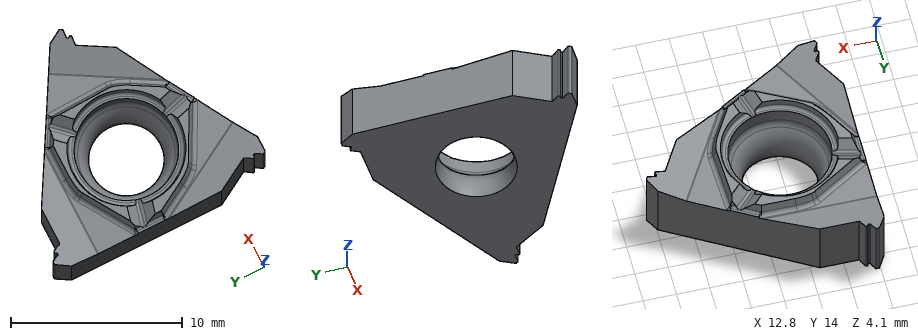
import cadquery as cq
import math

CORNERS = 3
CORNER_STEP = 360 / CORNERS

INSCRIBED_RADIUS = 4.7625
TOP_Z = 4.1
FLOOR_Z = 3.51
CORNER_FLAT_Y = 6.025
OVERSIZE_RADIUS = 12.0

LEFT_SIDE_NORMAL = 180.0
UPPER_SIDE_NORMAL = LEFT_SIDE_NORMAL - CORNER_STEP
CORNER_FLAT_NORMAL = 90.0

TIP_Y = 6.88
TIP_START_X = -4.26
TIP_END_X = -4.05
VALLEY_Y = 6.42
VALLEY_START_X = -3.81
VALLEY_END_X = -3.70
CREST_Y = 6.55
CREST_START_X = -3.64
CREST_END_X = -3.53
TEETH_END_X = -3.26
TIP_ROUND = 0.05

RAKE_START_Y = 4.295
RAKE_ANGLE = 10.5
RAKE_BLEND = 0.28

BOSS_RADIUS = 3.74
BOSS_FACET_DISTANCE = 3.62
BOSS_FACET_NORMAL = 122.0
BOSS_END_DISTANCE = 4.26
BOSS_TAPER = 26.0
BOSS_TOE_FILLET = 0.32
BOSS_CORNER_ROUND = 1.0

LEDGE_Z = 3.595
LEDGE_LOW_Y = -0.1
LEDGE_HIGH_Y = 1.66
LEDGE_FILLET = 0.18
LEDGE_WALL_HEIGHT = 0.12

NOTCH_ANGLE = 166.0
NOTCH_TOP_WIDTH = 1.51
NOTCH_WALL_ANGLE = 51.5
NOTCH_FILLET = 0.27
NOTCH_START_RADIUS = 2.5
NOTCH_LENGTH = 3.0

THROAT_RADIUS = 2.19
THROAT_Z = 0.85
SEAT_RADIUS = 2.84
SEAT_TOP_Z = 2.29
RECESS_RADIUS = 3.04
RIM_RADIUS = 3.47
RELIEF_Z = 3.63
RELIEF_TAPER = 14.0
RELIEF_FILLET = 0.22


def turned(x, y, degrees):
    """The point (x, y) turned about the hole axis."""
    a = math.radians(degrees)
    return (x * math.cos(a) - y * math.sin(a), x * math.sin(a) + y * math.cos(a))


def lines_meeting(normal_a, distance_a, normal_b, distance_b):
    """Where two lines cross, each given by its normal direction and distance from the hole axis."""
    a = math.radians(normal_a)
    b = math.radians(normal_b)
    span = math.sin(b - a)
    x = (distance_a * math.sin(b) - distance_b * math.sin(a)) / span
    y = (distance_b * math.cos(a) - distance_a * math.cos(b)) / span
    return (x, y)


def at_each_corner(solid):
    """Copies of a solid at all corners, joined into one shape."""
    joined = solid
    for i in range(1, CORNERS):
        joined = joined.union(solid.rotate((0, 0, 0), (0, 0, 1), i * CORNER_STEP))
    return joined


def body_prism():
    """Full-height prism with the toothed triangular outline."""
    flat_end = lines_meeting(CORNER_FLAT_NORMAL, CORNER_FLAT_Y, UPPER_SIDE_NORMAL, INSCRIBED_RADIUS)
    corner = [
        (-INSCRIBED_RADIUS, CORNER_FLAT_Y),
        (TIP_START_X, TIP_Y),
        (TIP_END_X, TIP_Y),
        (VALLEY_START_X, VALLEY_Y),
        (VALLEY_END_X, VALLEY_Y),
        (CREST_START_X, CREST_Y),
        (CREST_END_X, CREST_Y),
        (TEETH_END_X, CORNER_FLAT_Y),
        flat_end,
    ]
    outline = []
    for i in range(CORNERS):
        outline += [turned(x, y, -i * CORNER_STEP) for x, y in corner]
    prism = cq.Workplane("XY").polyline(outline).close().extrude(TOP_Z)

    rounded_points = (corner[1], corner[2], corner[5], corner[6])
    tooth_edges = []
    for i in range(CORNERS):
        for x, y in rounded_points:
            px, py = turned(x, y, -i * CORNER_STEP)
            nearest = cq.selectors.NearestToPointSelector((px, py, TOP_Z / 2))
            tooth_edges.append(prism.edges(nearest).val())
    return cq.Workplane(prism.val().fillet(TIP_ROUND, tooth_edges))


def boss_on_floor():
    """Tapered boss standing on an oversized floor slab, with a filleted toe."""
    spread = (TOP_Z - FLOOR_Z) * math.tan(math.radians(BOSS_TAPER))
    radius = BOSS_RADIUS + spread
    facet = BOSS_FACET_DISTANCE + spread
    end = BOSS_END_DISTANCE + spread

    end_to_facet = lines_meeting(LEFT_SIDE_NORMAL, end, BOSS_FACET_NORMAL, facet)
    arc_start_angle = BOSS_FACET_NORMAL - math.degrees(math.acos(facet / radius))
    arc_start = turned(radius, 0, arc_start_angle)
    arc_middle = turned(radius, 0, (arc_start_angle + CORNER_FLAT_NORMAL) / 2)
    arc_end = (0, radius)
    wall_to_end = lines_meeting(CORNER_FLAT_NORMAL, radius, UPPER_SIDE_NORMAL, end)

    outline = cq.Workplane("XY").workplane(offset=FLOOR_Z).moveTo(*end_to_facet)
    for i in range(CORNERS):
        turn = -i * CORNER_STEP
        outline = outline.lineTo(*turned(*arc_start, turn))
        outline = outline.threePointArc(turned(*arc_middle, turn), turned(*arc_end, turn))
        outline = outline.lineTo(*turned(*wall_to_end, turn))
        if i < CORNERS - 1:
            outline = outline.lineTo(*turned(*end_to_facet, turn - CORNER_STEP))
    boss = outline.close().extrude(TOP_Z - FLOOR_Z, taper=BOSS_TAPER)
    for i in range(CORNERS):
        low_x, low_y = turned(*arc_start, -i * CORNER_STEP)
        high_x, high_y = turned(BOSS_RADIUS, 0, arc_start_angle - i * CORNER_STEP)
        edge_middle = ((low_x + high_x) / 2, (low_y + high_y) / 2, (FLOOR_Z + TOP_Z) / 2)
        corner_edge = cq.selectors.NearestToPointSelector(edge_middle)
        boss = boss.edges(corner_edge).fillet(BOSS_CORNER_ROUND)

    slab = cq.Workplane("XY").circle(OVERSIZE_RADIUS).extrude(FLOOR_Z)
    joined = slab.union(boss)
    slab_rim = cq.selectors.RadiusNthSelector(-1)
    toe = joined.faces(cq.selectors.NearestToPointSelector((0, 0, FLOOR_Z))).edges()
    toe = toe.edges(cq.selectors.InverseSelector(slab_rim))
    return toe.fillet(BOSS_TOE_FILLET)


def rake_ramp():
    """Ramp behind one cutting corner, blended into the floor."""
    run = OVERSIZE_RADIUS - RAKE_START_Y
    rise = run * math.tan(math.radians(RAKE_ANGLE))
    ramp = (
        cq.Workplane("YZ")
        .moveTo(BOSS_RADIUS, 0)
        .lineTo(BOSS_RADIUS, FLOOR_Z)
        .lineTo(RAKE_START_Y, FLOOR_Z)
        .lineTo(OVERSIZE_RADIUS, FLOOR_Z + rise)
        .lineTo(OVERSIZE_RADIUS, 0)
        .close()
        .extrude(OVERSIZE_RADIUS, both=True)
    )
    bend = cq.selectors.NearestToPointSelector((0, RAKE_START_Y, FLOOR_Z))
    return ramp.edges(bend).fillet(RAKE_BLEND)


def end_ledge():
    """Low ledge at the foot of one boss end, blended up into the sloping end wall."""
    slope = math.tan(math.radians(BOSS_TAPER))
    wall_foot_x = -BOSS_END_DISTANCE - (TOP_Z - LEDGE_Z) * slope
    wall_top_x = wall_foot_x + LEDGE_WALL_HEIGHT * slope
    wall_top_z = LEDGE_Z + LEDGE_WALL_HEIGHT
    ledge = (
        cq.Workplane("XZ", origin=(0, LEDGE_HIGH_Y, 0))
        .moveTo(-INSCRIBED_RADIUS, 0)
        .lineTo(-INSCRIBED_RADIUS, LEDGE_Z)
        .lineTo(wall_foot_x, LEDGE_Z)
        .lineTo(wall_top_x, wall_top_z)
        .lineTo(-BOSS_END_DISTANCE, wall_top_z)
        .lineTo(-BOSS_END_DISTANCE, 0)
        .close()
        .extrude(LEDGE_HIGH_Y - LEDGE_LOW_Y)
    )
    middle_y = (LEDGE_LOW_Y + LEDGE_HIGH_Y) / 2
    bend = cq.selectors.NearestToPointSelector((wall_foot_x, middle_y, LEDGE_Z))
    return ledge.edges(bend).fillet(LEDGE_FILLET)


def boss_notch():
    """Cutter for one radial notch: sloping walls and a filleted narrow floor."""
    slope = math.tan(math.radians(NOTCH_WALL_ANGLE))
    top_half = NOTCH_TOP_WIDTH / 2
    floor_half = top_half - (TOP_Z - LEDGE_Z) * slope
    cutter = (
        cq.Workplane("YZ", origin=(NOTCH_START_RADIUS, 0, 0))
        .polyline([(-top_half, TOP_Z), (-floor_half, LEDGE_Z), (floor_half, LEDGE_Z), (top_half, TOP_Z)])
        .close()
        .extrude(NOTCH_LENGTH)
    )
    cutter = cutter.faces("<Z").edges("|X").fillet(NOTCH_FILLET)
    return cutter.rotate((0, 0, 0), (0, 0, 1), NOTCH_ANGLE)


def screw_hole():
    """Turned cutters for the seat with its recess, and for the rim relief above them."""
    seat_run = SEAT_RADIUS - THROAT_RADIUS
    seat_drop = SEAT_TOP_Z - THROAT_Z
    seat_arc = (seat_run**2 + seat_drop**2) / (2 * seat_run)
    exit_radius = THROAT_RADIUS + seat_arc - math.sqrt(seat_arc**2 - THROAT_Z**2)
    sweep = math.asin(seat_drop / seat_arc)
    blend_arc = (RECESS_RADIUS - SEAT_RADIUS) / (1 - math.cos(sweep))
    recess_bottom_z = SEAT_TOP_Z + blend_arc * math.sin(sweep)
    blend_middle = (
        RECESS_RADIUS - blend_arc * (1 - math.cos(sweep / 2)),
        recess_bottom_z - blend_arc * math.sin(sweep / 2),
    )
    seat = (
        cq.Workplane("XZ")
        .lineTo(exit_radius, 0)
        .threePointArc((THROAT_RADIUS, THROAT_Z), (SEAT_RADIUS, SEAT_TOP_Z))
        .threePointArc(blend_middle, (RECESS_RADIUS, recess_bottom_z))
        .lineTo(RECESS_RADIUS, TOP_Z)
        .lineTo(0, TOP_Z)
        .close()
        .revolve(360, (0, 0, 0), (0, 1, 0))
    )
    relief = (
        cq.Workplane("XY", origin=(0, 0, TOP_Z))
        .circle(RIM_RADIUS)
        .extrude(RELIEF_Z - TOP_Z, taper=RELIEF_TAPER)
        .faces("<Z")
        .edges()
        .fillet(RELIEF_FILLET)
    )
    return seat.union(relief)


upper_form = boss_on_floor()
upper_form = upper_form.union(at_each_corner(rake_ramp()))
upper_form = upper_form.union(at_each_corner(end_ledge()))

result = body_prism().intersect(upper_form)
result = result.cut(at_each_corner(boss_notch()))
result = result.cut(screw_hole())